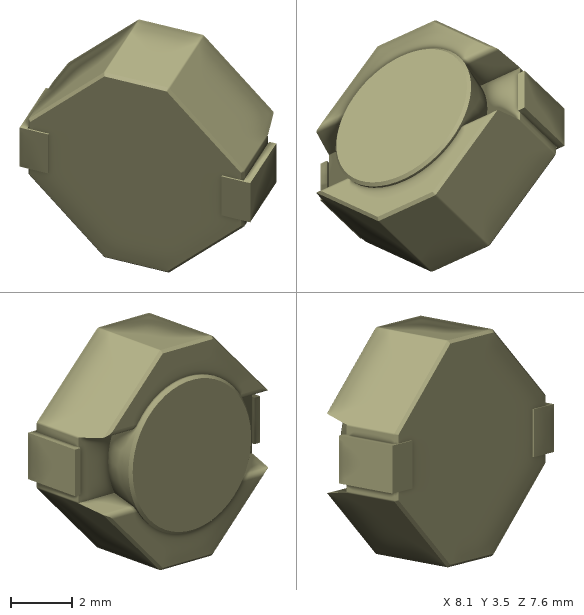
import cadquery as cq
import math

overall_length = 8.1
overall_height = 3.5

body_width = 7.6
body_bottom = 0.05
body_top = 3.3
flat_half = 1.13
edge_radius = 0.1
rim_chamfer = 0.1

core_top_radius = 2.69
core_floor_radius = 2.495
core_chamfer = 0.1

notch_floor = 2.19
notch_floor_half = 1.13
notch_top_half = 1.345
notch_round = 0.2

terminal_width = 1.6
terminal_height = 2.3
terminal_foot = 1.005
foot_thickness = body_bottom + 0.01


def extrude_up(profile, bottom, top):
    """Extrude an XZ profile from Y = bottom to Y = top."""
    return profile.extrude(bottom - top).translate((0, bottom, 0))


def make_body():
    half = body_width / 2
    corners = [
        (half, -flat_half), (half, flat_half),
        (flat_half, half), (-flat_half, half),
        (-half, flat_half), (-half, -flat_half),
        (-flat_half, -half), (flat_half, -half),
    ]
    profile = cq.Workplane("XZ").polyline(corners).close()
    body = extrude_up(profile, body_bottom, body_top)
    body = body.edges("|Y").fillet(edge_radius)
    return body.faces("<Y or >Y").chamfer(rim_chamfer)


def make_notches():
    """A flared channel along X with rounded rims; the core later fills its middle."""
    wall_rise = body_top - notch_floor
    wall_run = notch_top_half - notch_floor_half
    wall_length = math.hypot(wall_rise, wall_run)
    turn = math.atan2(wall_rise, wall_run)
    tangent = notch_round * math.tan(turn / 2)
    wall_end_y = body_top - tangent * wall_rise / wall_length
    wall_end_z = notch_top_half - tangent * wall_run / wall_length
    rim_z = notch_top_half + tangent
    profile = (
        cq.Workplane("YZ")
        .moveTo(notch_floor, -notch_floor_half)
        .lineTo(notch_floor, notch_floor_half)
        .lineTo(wall_end_y, wall_end_z)
        .tangentArcPoint((body_top, rim_z), relative=False)
        .lineTo(body_top, -rim_z)
        .radiusArc((wall_end_y, -wall_end_z), -notch_round)
        .close()
    )
    return profile.extrude(body_width / 2, both=True)


def make_core():
    shoulder = overall_height - core_chamfer
    profile = [
        (0, notch_floor), (core_floor_radius, notch_floor),
        (core_top_radius, shoulder),
        (core_top_radius - core_chamfer, overall_height), (0, overall_height),
    ]
    return cq.Workplane("XY").polyline(profile).close().revolve(360, (0, 0), (0, 1))


def make_terminal(side):
    """An L-shaped terminal: an upright on the end face and a foot under the body."""
    end = side * overall_length / 2
    face = side * body_width / 2
    foot_end = side * (overall_length / 2 - terminal_foot)
    profile = [
        (end, 0), (end, terminal_height), (face, terminal_height),
        (face, foot_thickness), (foot_end, foot_thickness), (foot_end, 0),
    ]
    return cq.Workplane("XY").polyline(profile).close().extrude(terminal_width / 2, both=True)


result = make_body().cut(make_notches()).union(make_core())
for end_side in (-1, 1):
    result = result.union(make_terminal(end_side))